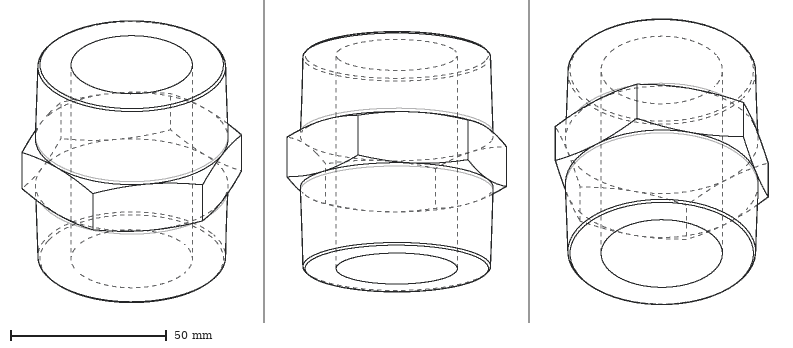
import cadquery as cq
import math

total_length = 71.0
bore_diameter = 39.0

hex_across_flats = 62.0
hex_height = 17.0
hex_corner_height = 13.2

collar_diameter = hex_across_flats
collar_height = 1.1

thread_taper = 1 / 16
tip_chamfer = 0.7

half_length = total_length / 2
hex_across_corners = hex_across_flats / math.cos(math.radians(30))
collar_radius = collar_diameter / 2
collar_end = hex_height / 2 + collar_height
thread_length = half_length - collar_end
thread_tip_radius = collar_radius - thread_length * thread_taper / 2


def make_hexagon():
    """Hexagon with corners on Y, its corners trimmed by a cone at both ends."""
    prism = (
        cq.Workplane("XY")
        .polygon(6, hex_across_corners)
        .extrude(hex_height / 2, both=True)
        .rotate((0, 0, 0), (0, 0, 1), 30)
    )
    trimming_body = (
        cq.Workplane("XZ")
        .moveTo(0, -hex_height / 2)
        .lineTo(collar_radius, -hex_height / 2)
        .lineTo(hex_across_corners / 2, -hex_corner_height / 2)
        .lineTo(hex_across_corners / 2, hex_corner_height / 2)
        .lineTo(collar_radius, hex_height / 2)
        .lineTo(0, hex_height / 2)
        .close()
        .revolve(360, (0, 0, 0), (0, 1, 0))
    )
    return prism.intersect(trimming_body)


def make_tapered_end():
    """Upper half of the body: collar, tapered thread envelope and chamfered tip."""
    return (
        cq.Workplane("XZ")
        .lineTo(collar_radius, 0)
        .lineTo(collar_radius, collar_end)
        .lineTo(thread_tip_radius, half_length - tip_chamfer)
        .lineTo(thread_tip_radius - tip_chamfer, half_length)
        .lineTo(0, half_length)
        .close()
        .revolve(360, (0, 0, 0), (0, 1, 0))
    )


upper_end = make_tapered_end()
lower_end = upper_end.mirror("XY")
bore = cq.Workplane("XY").circle(bore_diameter / 2).extrude(half_length, both=True)

result = make_hexagon().union(upper_end).union(lower_end).cut(bore)